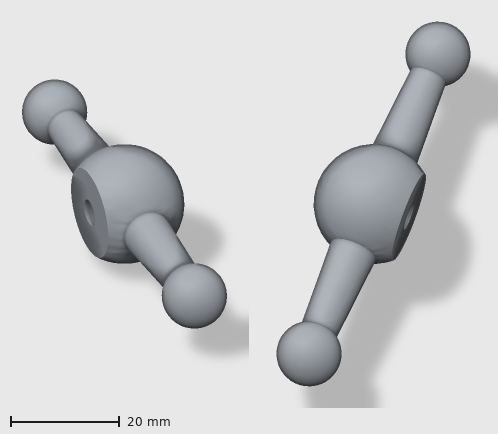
import cadquery as cq
import math

length = 75.9
hub_diameter = 22.0
end_ball_diameter = 12.0
end_ball_offset = (length - end_ball_diameter) / 2

seat_distance = 7.0
hole_diameter = 5.0
hole_depth = 10.0
drill_point_angle = 118.0

arm_root_x = 10.0
arm_root_radius = 4.5
arm_tip_x = 27.2
arm_tip_radius = 3.5


def arm_radius(x):
    """Radius of the tapered arm at distance x from the hub centre."""
    slope = (arm_tip_radius - arm_root_radius) / (arm_tip_x - arm_root_x)
    return arm_root_radius + slope * (x - arm_root_x)


def make_arm_and_ball():
    """Arm from the hub centre to the centre of the ball on the +X end."""
    arm = (
        cq.Workplane("XY")
        .polyline([
            (0, 0),
            (0, arm_radius(0)),
            (end_ball_offset, arm_radius(end_ball_offset)),
            (end_ball_offset, 0),
        ])
        .close()
        .revolve(360, (0, 0, 0), (1, 0, 0))
    )
    ball = cq.Workplane("XY").sphere(end_ball_diameter / 2).translate((end_ball_offset, 0, 0))
    return arm.union(ball)


def make_hub():
    """Central ball cut flat by the seat plane."""
    ball = cq.Workplane("XY").sphere(hub_diameter / 2)
    keep = cq.Workplane("XY").box(length, length, length).translate((0, length / 2 - seat_distance, 0))
    return ball.intersect(keep)


def make_hole():
    """Drilled hole entering the seat along +Y, ending in a conical drill point."""
    radius = hole_diameter / 2
    point_height = radius / math.tan(math.radians(drill_point_angle / 2))
    wall_end_y = hole_depth - seat_distance
    return (
        cq.Workplane("XY")
        .polyline([
            (0, -seat_distance),
            (radius, -seat_distance),
            (radius, wall_end_y),
            (0, wall_end_y + point_height),
        ])
        .close()
        .revolve(360, (0, 0, 0), (0, 1, 0))
    )


right_arm = make_arm_and_ball()
left_arm = right_arm.mirror("YZ")
result = make_hub().union(right_arm).union(left_arm).cut(make_hole())